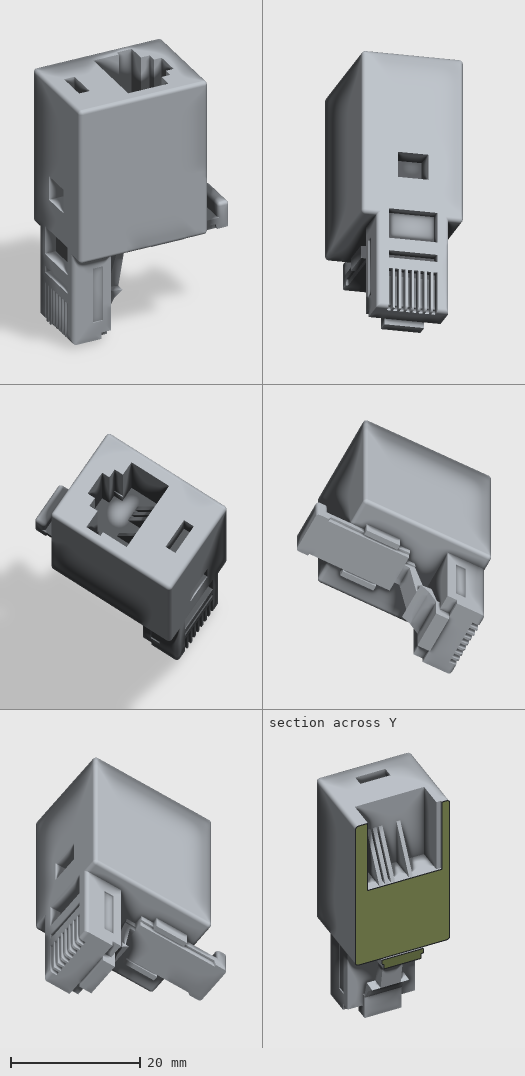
import cadquery as cq
import math


block_width = 16.25
block_depth = 22.25
block_top = 43.1
block_bottom = 16.2
plug_width = 11.55
plug_depth = 6.6
plug_bottom = 0.9
edge_radius = 0.6
tolerance = 0.05

contact_count = 8
contact_pitch = 1.02
slot_field_width = 7.8
slot_width = slot_field_width - (contact_count - 1) * contact_pitch
slot_top = 7.4
slot_depth = 1.3
rib_width = contact_pitch - slot_width
square_rib_indices = (0, 1)
pad_width = 0.41
pad_height = 0.45
pad_bottom = 1.55
pad_top = 6.55
pad_end_radius = 0.2

pocket_width = 4.85
pocket_bottom = 22.6
pocket_top = 26.75
pocket_depth = 3.85
window_bottom = 12.4
window_top = 17.28
window_depth = 1.9
bar_slot_bottom = 9.18
bar_slot_top = 10.35

side_recess_front = 3.5
side_recess_back = 5.13
side_recess_bottom = 4.1
side_recess_top = 13.6
side_recess_depth = 0.2
heel_notch_front = 4.95
heel_notch_top = 2.02

top_slot_width = 5.15
top_slot_front = 2.65
top_slot_back = 4.5
top_slot_depth = 4.3
jack_depth = 12.92
jack_front = 9.48
jack_back = 16.45
jack_half_width = 5.95
key_left = -6.68
key_front = 13.87
shoulder_half_width = 3.55
shoulder_lower_half_width = 3.35
shoulder_back = 17.95
shoulder_ledge_depth = 10.75
tongue_half_width = 2.02
tongue_back = 19.3

spring_steps = (-1.5, 1.5, 2.5, 3.5)
spring_width = 0.65
spring_back = 14.0
spring_angle = 60

lever_width = 7.2
lever_back = 28.17
lever_front = 12.0
lever_bottom = 14.05
lever_middle = 14.95
lever_top = 15.95
web_width = 6.45
web_back_top = 25.75
web_back_bottom = 26.05
handle_front = 26.3
handle_top = 18.45
handle_radius = 0.5

neck_width = 3.88
neck_inset = 0.15
neck_tip_top = 10.4
arm_width = 3.45
arm_bend_inner = (10.15, lever_middle)
arm_bend_outer = (11.1, lever_bottom + neck_inset)
arm_end_inner = (8.0, 7.32)
arm_end_outer = (9.9, 7.1)
foot_width = 6.35
foot_front = 5.05
foot_back = 7.25
foot_ledge = 1.9
foot_top = 4.22
foot_hinge = 7.1
foot_curve_mid = (9.05, 6.45)
foot_curve_end = (8.5, 6.0)
foot_knee = 3.9

cheek_front = 14.2
cheek_back = 20.0
cheek_thickness = 0.85


def box(x0, x1, y0, y1, z0, z1):
    """Axis-aligned box between two opposite corners."""
    return cq.Workplane("XY").box(x1 - x0, y1 - y0, z1 - z0, centered=False).translate((x0, y0, z0))


def centred_box(width, y0, y1, z0, z1):
    """Box of the given width, centred on the plane of symmetry."""
    return box(-width / 2, width / 2, y0, y1, z0, z1)


def side_profile(points, width, x_centre=0):
    """Polygon in (Y, Z), extruded by width about x_centre."""
    return cq.Workplane("YZ").polyline(points).close().extrude(width / 2, both=True).translate((x_centre, 0, 0))


def contact_x(index):
    """X of the centre of one plug contact slot."""
    return (index - (contact_count - 1) / 2) * contact_pitch


def is_rounded(edge):
    """True for front edges and block edges, except those where the plug meets the underside of the block."""
    centre = edge.Center()
    if centre.y < tolerance:
        return True
    on_block = centre.z > block_bottom - tolerance
    at_plug_root = (
        centre.z < block_bottom + tolerance
        and centre.y < plug_depth + tolerance
        and abs(centre.x) < plug_width / 2 + tolerance
    )
    return on_block and not at_plug_root


def outer_shell():
    """Block with the plug below it, both flush at the front, with rounded outer edges."""
    block = centred_box(block_width, 0, block_depth, block_bottom, block_top)
    plug = centred_box(plug_width, 0, plug_depth, plug_bottom, block_bottom)
    shell = block.union(plug)
    rounded_edges = [edge for edge in shell.edges().vals() if is_rounded(edge)]
    return shell.newObject(rounded_edges).fillet(edge_radius)


def jack_cavity():
    """Stepped opening sunk into the top face, keyed on its left side."""

    def step(left, right, y0, y1, depth):
        return box(left, right, y0, y1, block_top - depth, block_top)

    cavity = step(-jack_half_width, jack_half_width, jack_front, jack_back, jack_depth)
    cavity = cavity.union(step(key_left, jack_half_width, key_front, jack_back, jack_depth))
    for half_width, depth in (
        (shoulder_half_width, shoulder_ledge_depth),
        (shoulder_lower_half_width, jack_depth),
    ):
        cavity = cavity.union(step(-half_width, half_width, jack_back, shoulder_back, depth))
    return cavity.union(step(-tongue_half_width, tongue_half_width, shoulder_back, tongue_back, jack_depth))


def spring_contact(step):
    """Ramp rising from the jack floor to its front wall."""
    floor = block_top - jack_depth
    rise = (spring_back - jack_front) * math.tan(math.radians(spring_angle))
    points = [(jack_front, floor), (spring_back, floor), (jack_front, floor + rise)]
    return side_profile(points, spring_width, step * contact_pitch)


def contact_slot(index):
    """Slot open at the front and bottom of the plug, with a rounded contact pad left in its floor."""
    x = contact_x(index)
    slot = box(x - slot_width / 2, x + slot_width / 2, 0, slot_depth, plug_bottom, slot_top)
    pad = box(x - pad_width / 2, x + pad_width / 2, slot_depth - pad_height, slot_depth, pad_bottom, pad_top)
    pad = pad.faces("<Y").edges("|X").fillet(pad_end_radius)
    return slot.cut(pad)


def square_rib_end(index):
    """Square lower end of the rib between two neighbouring contact slots."""
    x = contact_x(index + 0.5)
    return box(
        x - rib_width / 2, x + rib_width / 2, 0, edge_radius, plug_bottom, plug_bottom + edge_radius
    )


def guide_cheek(side):
    """Cheek below the block that touches one side of the lever."""
    inner = side * lever_width / 2
    outer = inner + side * cheek_thickness
    return box(
        min(inner, outer), max(inner, outer), cheek_front, cheek_back, lever_bottom + neck_inset, block_bottom
    )


def make_housing():
    housing = outer_shell()
    housing = housing.cut(centred_box(pocket_width, 0, pocket_depth, pocket_bottom, pocket_top))
    housing = housing.cut(centred_box(slot_field_width, 0, window_depth, window_bottom, window_top))
    housing = housing.cut(centred_box(slot_field_width, 0, window_depth, bar_slot_bottom, bar_slot_top))
    housing = housing.cut(
        centred_box(top_slot_width, top_slot_front, top_slot_back, block_top - top_slot_depth, block_top)
    )
    housing = housing.cut(centred_box(plug_width, heel_notch_front, plug_depth, plug_bottom, heel_notch_top))

    recess_floor = plug_width / 2 - side_recess_depth
    for x0 in (-plug_width / 2, recess_floor):
        housing = housing.cut(
            box(
                x0, x0 + side_recess_depth, side_recess_front, side_recess_back,
                side_recess_bottom, side_recess_top,
            )
        )

    housing = housing.cut(jack_cavity())
    for step in spring_steps:
        housing = housing.union(spring_contact(step))
    for index in range(contact_count):
        housing = housing.cut(contact_slot(index))
    for index in square_rib_indices:
        housing = housing.union(square_rib_end(index))
    for side in (-1, 1):
        housing = housing.union(guide_cheek(side))
    return housing.solids()


def latch_handle():
    """Upright finger tab at the rear end of the lever."""
    handle = centred_box(lever_width, handle_front, lever_back, lever_bottom, handle_top)
    return handle.edges("|Z or >Z").fillet(handle_radius)


def latch_lever():
    """Flat lever: a full-width plate over a narrower web."""
    plate_back = lever_back - handle_radius
    plate = centred_box(lever_width, lever_front, plate_back, lever_middle, lever_top)
    heel = side_profile(
        [
            (web_back_top, lever_middle), (web_back_bottom, lever_bottom),
            (plate_back, lever_bottom), (plate_back, lever_middle),
        ],
        lever_width,
    )
    web = centred_box(web_width, lever_front, web_back_bottom, lever_bottom, lever_middle)
    return plate.union(heel).union(web).union(latch_handle())


def latch_arm():
    """Neck at the front of the lever and the slim arm that slopes down from it."""
    neck_top = lever_top - neck_inset
    neck = side_profile(
        [(lever_front, lever_middle), (lever_front, neck_top), (neck_tip_top, neck_top), arm_bend_inner],
        neck_width,
    )
    arm = side_profile(
        [
            (lever_front, lever_middle), arm_bend_inner, arm_end_inner, arm_end_outer,
            arm_bend_outer, (lever_front, arm_bend_outer[1]),
        ],
        arm_width,
    )
    return neck.union(arm)


def latch_foot():
    """Wide lower end, thinned to a hinge, with a toe in the notch at the heel of the plug."""
    return (
        cq.Workplane("YZ")
        .moveTo(*arm_end_inner)
        .lineTo(*arm_end_outer)
        .threePointArc(foot_curve_mid, foot_curve_end)
        .lineTo(foot_back, foot_knee)
        .lineTo(foot_back, 0)
        .lineTo(foot_front, 0)
        .lineTo(foot_front, foot_ledge)
        .lineTo(plug_depth, foot_ledge)
        .lineTo(plug_depth, foot_top)
        .lineTo(foot_hinge, foot_top)
        .close()
        .extrude(foot_width / 2, both=True)
    )


def make_latch():
    return latch_lever().union(latch_arm()).union(latch_foot()).solids()


housing = make_housing()
latch = make_latch()

result = cq.Compound.makeCompound([housing.val(), latch.val()])